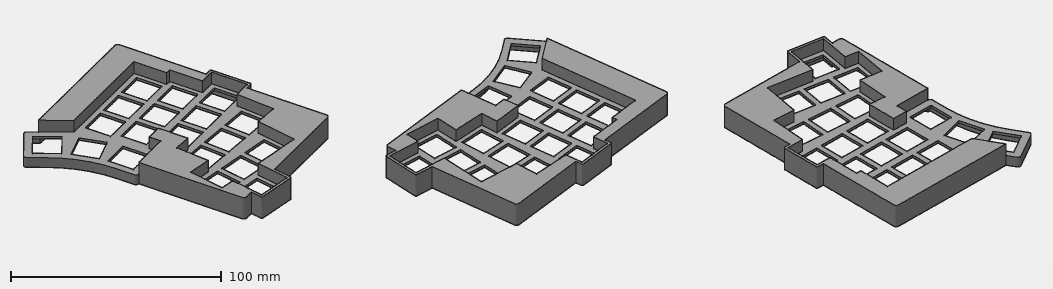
import cadquery as cq
import math

case_height = 12.5
plate_top = 5.7
plate_thickness = 1.5
plate_underside = plate_top - plate_thickness

wall = 1.5
key_clearance = 0.8
corner_radius = 1.6
sleeve_radius = 0.7

tray_length = 117.1
tray_width = 79.0

switch_hole = 14.0
pitch_x = 18.0
pitch_y = 17.0

three_rows = (-1, 0, 1)
splay_reach = 3.2
first_x = 24.4
second_y = 46.9
first_column = (first_x, 44.1, 0, three_rows, 0)
second_column = (first_x + pitch_x, second_y, 0, three_rows, 0)
third_column = (first_x + 2 * pitch_x, 55.4, 0, three_rows, 0)
fourth_column = (79.6, 45.0, 4, three_rows, splay_reach)
fifth_x = 98.2
fifth_y = 29.7
fifth_tilt = 10
fifth_column = (fifth_x, fifth_y, fifth_tilt, three_rows, splay_reach)

outer_drop = 9.3
tilt = math.radians(fifth_tilt)
outer_key_x = fifth_x + pitch_x * math.cos(tilt) - outer_drop * math.sin(tilt)
outer_key_y = fifth_y - pitch_x * math.sin(tilt) - outer_drop * math.cos(tilt)
outer_column = (outer_key_x, outer_key_y, fifth_tilt, (0,), 0)

columns = [
    first_column,
    second_column,
    third_column,
    fourth_column,
    fifth_column,
    outer_column,
]

thumb_x = 47.5
thumb_y = 9.0
thumb_arc_radius = 77.1
thumb_step = 15
thumb_count = 3
last_turn = (thumb_count - 1) * thumb_step
thumb_margin = 2.1
thumb_half_x = pitch_x / 2 + thumb_margin
thumb_half_y = pitch_y / 2 + thumb_margin


def box(x0, x1, y0, y1, z0, z1):
    """Axis-aligned box between the given limits."""
    return cq.Workplane("XY").box(x1 - x0, y1 - y0, z1 - z0, centered=False).translate((x0, y0, z0))


def column_cells(margin, z0, z1):
    """One box around every finger key, larger than the key pitch by margin on each side."""
    half_x = pitch_x / 2 + margin
    half_y = pitch_y / 2 + margin
    cells = cq.Workplane("XY")
    for x, y, angle, rows, reach in columns:
        for row in rows:
            left = half_x + (reach if row >= 0 else 0)
            row_y = row * pitch_y
            cell = box(-left, half_x, row_y - half_y, row_y + half_y, z0, z1)
            cell = cell.rotate((0, 0, 0), (0, 0, 1), -angle).translate((x, y, 0))
            cells = cells.add(cell)
    return cells.combine()


def column_corner(column, side, end):
    """Outer sleeve corner of a column: side is -1 left or 1 right, end is -1 bottom or 1 top."""
    x, y, angle, rows, _ = column
    a = math.radians(angle)
    margin = key_clearance + wall
    along = side * (pitch_x / 2 + margin)
    up = end * (max(rows) * pitch_y + pitch_y / 2 + margin)
    return x + along * math.cos(a) + up * math.sin(a), y - along * math.sin(a) + up * math.cos(a)


def thumb_point(turn, along, across):
    """Point beside the thumb key that is turned by the given angle."""
    a = math.radians(turn)
    radius = thumb_arc_radius + across
    x = thumb_x - radius * math.sin(a) + along * math.cos(a)
    y = thumb_y - thumb_arc_radius + radius * math.cos(a) + along * math.sin(a)
    return x, y


def thumb_block(inset, z0, z1):
    """Thumb cluster from its concave lower edge up into the finger columns."""
    half_x = thumb_half_x - inset
    half_y = thumb_half_y - inset
    left_x = first_x - pitch_x / 2 - key_clearance
    top_y = second_y - len(three_rows) / 2 * pitch_y - key_clearance
    corner_x, corner_y = thumb_point(last_turn, -half_x, half_y)
    edge_y = corner_y + (left_x - corner_x) * math.tan(math.radians(last_turn))
    return (
        cq.Workplane("XY", origin=(0, 0, z0))
        .moveTo(*thumb_point(0, half_x, -half_y))
        .lineTo(thumb_x + half_x, top_y)
        .lineTo(left_x, top_y)
        .lineTo(left_x, edge_y)
        .lineTo(corner_x, corner_y)
        .lineTo(*thumb_point(last_turn, -half_x, -half_y))
        .lineTo(*thumb_point(last_turn, 0, -half_y))
        .threePointArc(thumb_point(last_turn / 2, 0, -half_y), thumb_point(0, 0, -half_y))
        .close()
        .extrude(z1 - z0)
    )


def round_corners(block, radius, points):
    """Round the upright edges that stand nearest to the given points."""
    for x, y in points:
        nearest = cq.selectors.NearestToPointSelector((x, y, block.val().Center().z))
        block = block.edges(nearest).fillet(radius)
    return block


def switch_holes():
    """Square through hole at every finger and thumb key."""
    holes = cq.Workplane("XY")
    hole = cq.Workplane("XY").box(switch_hole, switch_hole, case_height, centered=(True, True, False))
    for x, y, angle, rows, _ in columns:
        for row in rows:
            placed = hole.translate((0, row * pitch_y, 0))
            placed = placed.rotate((0, 0, 0), (0, 0, 1), -angle).translate((x, y, 0))
            holes = holes.add(placed)
    for key in range(thumb_count):
        turn = key * thumb_step
        x, y = thumb_point(turn, 0, 0)
        holes = holes.add(hole.rotate((0, 0, 0), (0, 0, 1), turn).translate((x, y, 0)))
    return holes.combine()


tray = box(0, tray_length, 0, tray_width, 0, case_height).edges("|Z").fillet(corner_radius)
sleeve = column_cells(key_clearance + wall, 0, case_height)
sleeve_corners = [
    column_corner(third_column, -1, 1),
    column_corner(third_column, 1, 1),
    column_corner(outer_column, 1, 1),
    column_corner(outer_column, 1, -1),
]
sleeve = round_corners(sleeve, sleeve_radius, sleeve_corners)
thumb_corners = [
    thumb_point(0, thumb_half_x, -thumb_half_y),
    thumb_point(last_turn, -thumb_half_x, thumb_half_y),
    thumb_point(last_turn, -thumb_half_x, -thumb_half_y),
]
thumb = round_corners(thumb_block(0, 0, plate_top), corner_radius, thumb_corners)

well = column_cells(key_clearance, plate_top, case_height)
thumb_well = thumb_block(0, plate_top, case_height)
tray_space = box(wall, tray_length - wall, wall, tray_width - wall, 0, plate_underside)
key_space = column_cells(key_clearance, 0, plate_underside)
thumb_space = thumb_block(wall, 0, plate_underside)

body = tray.union(sleeve).union(thumb).cut(well).cut(thumb_well)
body = body.cut(tray_space).cut(key_space).cut(thumb_space)
result = body.cut(switch_holes())